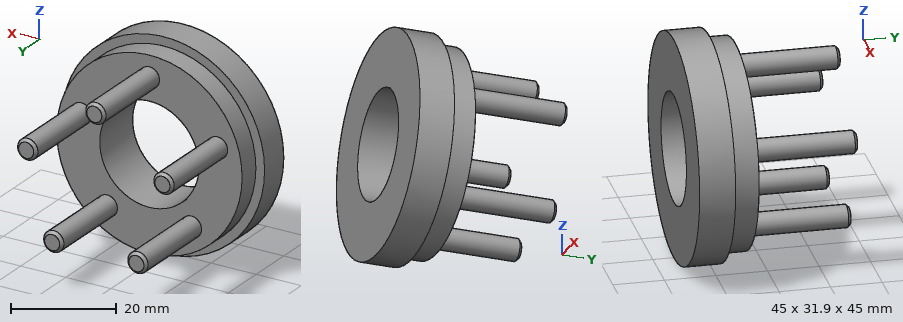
import cadquery as cq

flange_diameter = 45.0
flange_thickness = 6.98
hub_diameter = 41.15
hub_thickness = 5.0
bore_diameter = 22.0

pin_count = 5
pin_diameter = 4.5
pin_circle_radius = 15.9
first_pin_angle = 90
tip_chamfer = 0.6

overall_depth = 31.9
body_depth = flange_thickness + hub_thickness
pin_length = overall_depth - body_depth


def plane_at(y):
    """XZ plane at the given Y, facing +Y, with local Y pointing to +Z."""
    return cq.Plane(origin=(0, y, 0), xDir=(-1, 0, 0), normal=(0, 1, 0))


def make_body():
    flange = cq.Workplane(plane_at(0)).circle(flange_diameter / 2).extrude(flange_thickness)
    hub = cq.Workplane(plane_at(flange_thickness)).circle(hub_diameter / 2).extrude(hub_thickness)
    bore = cq.Workplane(plane_at(0)).circle(bore_diameter / 2).extrude(body_depth)
    return flange.union(hub).cut(bore)


def make_pins():
    return (
        cq.Workplane(plane_at(body_depth))
        .polarArray(pin_circle_radius, first_pin_angle, 360, pin_count)
        .circle(pin_diameter / 2)
        .extrude(pin_length)
        .faces(">Y")
        .chamfer(tip_chamfer)
    )


result = make_body().union(make_pins())